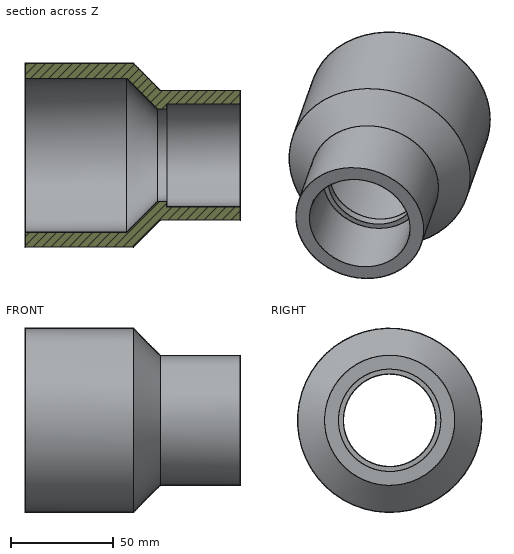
import cadquery as cq

total_length = 105.0
large_length = 52.8
outer_taper_length = 13.1
large_diameter = 90.0
small_diameter = 63.5

socket_setback = 3.3
large_socket_diameter = 75.0
large_socket_depth = large_length - socket_setback
throat_diameter = 45.0
inner_taper_length = (large_socket_diameter - throat_diameter) / 2
small_socket_diameter = 50.0
small_socket_depth = total_length - large_length - outer_taper_length - socket_setback


def stepped_cone(start_diameter, start_length, taper_length, end_diameter):
    """Solid of two coaxial cylinders joined by a cone, spanning the full length."""
    start_radius = start_diameter / 2
    end_radius = end_diameter / 2
    return (
        cq.Workplane("XY")
        .lineTo(0, start_radius)
        .lineTo(start_length, start_radius)
        .lineTo(start_length + taper_length, end_radius)
        .lineTo(total_length, end_radius)
        .lineTo(total_length, 0)
        .close()
        .revolve(360, (0, 0, 0), (1, 0, 0))
    )


outer_body = stepped_cone(large_diameter, large_length, outer_taper_length, small_diameter)
through_bore = stepped_cone(
    large_socket_diameter, large_socket_depth, inner_taper_length, throat_diameter
)
small_socket = (
    cq.Workplane("YZ", origin=(total_length - small_socket_depth, 0, 0))
    .circle(small_socket_diameter / 2)
    .extrude(small_socket_depth)
)

result = outer_body.cut(through_bore).cut(small_socket)